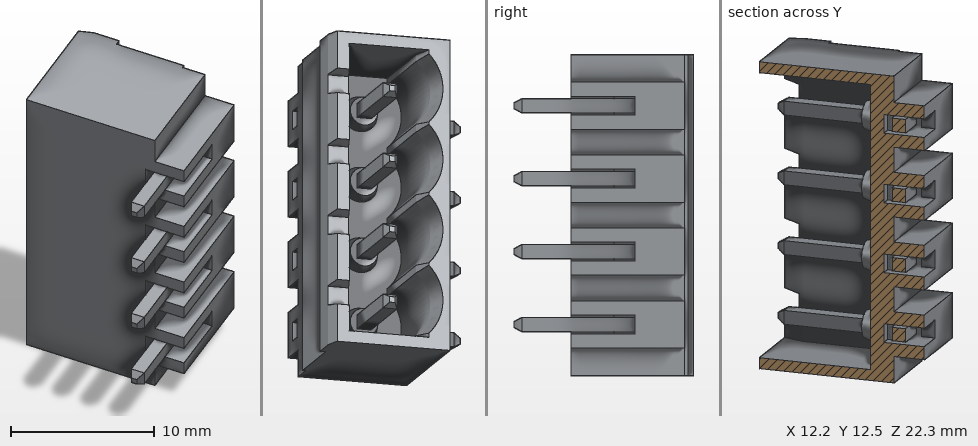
import cadquery as cq


POLE_COUNT = 4
POLE_PITCH = 5.07
POLE_Y = 3.93
POLE_Z = [(index - (POLE_COUNT - 1) / 2) * POLE_PITCH for index in range(POLE_COUNT)]

LENGTH = 22.32
HOUSING_DEPTH = 9.95
TOTAL_DEPTH = 12.2
HEIGHT = 8.53
LEAD_IN_HEIGHT = 8.21
LEAD_IN_DEPTH = 1.05
RIM_DEPTH = 3.0
MID_HEIGHT = 8.12
MID_DEPTH = 8.21
BACK_HEIGHT = 7.9

END_WALL = 0.83
CAVITY_DEPTH = 8.21
MOUTH_DEPTH = 1.56
FLARE = 0.42
CAVITY_TOP = 6.92
CAVITY_LEDGE = 1.96
SCALLOP_RADIUS = 3.0

NOTCH_WIDTH = 1.76
NOTCH_FLOOR_WIDTH = 1.35
NOTCH_DEPTH = 1.2

COLLAR_RADIUS = 1.25
COLLAR_TIP_RADIUS = 1.0
COLLAR_HEIGHT = 0.9

LEG_WIDTH = 3.28
SLOT_WIDTH = 1.32
SLOT_START = 9.22
SLOT_HEIGHT = 3.0
WINDOW_START = 10.18
WINDOW_END = 11.2

PIN_WIDTH = 1.0
PIN_TIP_WIDTH = 0.4
PIN_TAPER = 0.55
PIN_FRONT = 0.85
TAIL_X = 10.31
TAIL_END = -3.97
PIN_TOP = POLE_Y + PIN_WIDTH / 2


def block(x_range, y_range, width, z_center=0.0):
    """Box spanning the given X and Y ranges, centred on z_center."""
    return (
        cq.Workplane("XY")
        .box(x_range[1] - x_range[0], y_range[1] - y_range[0], width, centered=(False, False, True))
        .translate((x_range[0], y_range[0], z_center))
    )


def make_housing():
    """Stepped side profile along the whole row, with one leg behind each pole."""
    body = (
        cq.Workplane("XY")
        .polyline([
            (0, 0),
            (HOUSING_DEPTH, 0),
            (HOUSING_DEPTH, BACK_HEIGHT),
            (MID_DEPTH, BACK_HEIGHT),
            (MID_DEPTH, MID_HEIGHT),
            (RIM_DEPTH, MID_HEIGHT),
            (RIM_DEPTH, HEIGHT),
            (LEAD_IN_DEPTH, HEIGHT),
            (0, LEAD_IN_HEIGHT),
        ])
        .close()
        .extrude(LENGTH / 2, both=True)
    )
    for z in POLE_Z:
        body = body.union(block((MID_DEPTH, TOTAL_DEPTH), (0, BACK_HEIGHT), LEG_WIDTH, z))
    return body


def make_cavity():
    """Mating cavity: flared top and ledge, and one scallop per pole."""
    inner_length = LENGTH - 2 * END_WALL
    cavity = (
        cq.Workplane("XY")
        .polyline([
            (0, CAVITY_LEDGE - FLARE),
            (MOUTH_DEPTH, CAVITY_LEDGE),
            (CAVITY_DEPTH, CAVITY_LEDGE),
            (CAVITY_DEPTH, CAVITY_TOP),
            (MOUTH_DEPTH, CAVITY_TOP),
            (0, CAVITY_TOP + FLARE),
        ])
        .close()
        .extrude(inner_length / 2, both=True)
    )
    lower_half = block((0, CAVITY_DEPTH), (0, POLE_Y), inner_length)
    for z in POLE_Z:
        scallop = (
            cq.Workplane("XY")
            .polyline([
                (0, 0),
                (0, SCALLOP_RADIUS + FLARE),
                (MOUTH_DEPTH, SCALLOP_RADIUS),
                (CAVITY_DEPTH, SCALLOP_RADIUS),
                (CAVITY_DEPTH, 0),
            ])
            .close()
            .revolve(360, (0, 0, 0), (1, 0, 0))
            .translate((0, POLE_Y, z))
        )
        cavity = cavity.union(scallop.intersect(lower_half))
    return cavity


def make_notch(z):
    """Coding notch through the top wall, narrowing away from the mating face."""
    half_width = NOTCH_WIDTH / 2
    half_floor = NOTCH_FLOOR_WIDTH / 2
    return (
        cq.Workplane("XZ", origin=(0, POLE_Y, z))
        .polyline([
            (0, -half_width),
            (NOTCH_DEPTH, -half_floor),
            (NOTCH_DEPTH, half_floor),
            (0, half_width),
        ])
        .close()
        .extrude(POLE_Y - HEIGHT)
    )


def make_tail_slot(z):
    """Slot in the board face, deepened around the tail, with a window on through the top."""
    shallow_end = block((SLOT_START, TOTAL_DEPTH), (0, SLOT_HEIGHT), SLOT_WIDTH, z)
    tail_pocket = block((TAIL_X - PIN_WIDTH / 2, TOTAL_DEPTH), (0, PIN_TOP), SLOT_WIDTH, z)
    window = block((WINDOW_START, WINDOW_END), (0, BACK_HEIGHT), SLOT_WIDTH, z)
    return shallow_end.union(tail_pocket).union(window)


def make_collar(z):
    """Conical collar standing on the cavity floor."""
    return (
        cq.Workplane("YZ", origin=(CAVITY_DEPTH, POLE_Y, z))
        .circle(COLLAR_RADIUS)
        .workplane(offset=-COLLAR_HEIGHT)
        .circle(COLLAR_TIP_RADIUS)
        .loft()
    )


def make_pin_tip(plane, origin, direction):
    """Square frustum from the pin shoulder at origin along the plane normal."""
    return (
        cq.Workplane(plane, origin=origin)
        .rect(PIN_WIDTH, PIN_WIDTH)
        .workplane(offset=direction * PIN_TAPER)
        .rect(PIN_TIP_WIDTH, PIN_TIP_WIDTH)
        .loft()
    )


def make_pin(z):
    """Right-angle square pin with tapered mating and solder tips."""
    half_width = PIN_WIDTH / 2
    front_shoulder = PIN_FRONT + PIN_TAPER
    tail_shoulder = TAIL_END + PIN_TAPER
    tail_back = TAIL_X + half_width
    contact = block((front_shoulder, tail_back), (POLE_Y - half_width, PIN_TOP), PIN_WIDTH, z)
    tail = block((TAIL_X - half_width, tail_back), (tail_shoulder, PIN_TOP), PIN_WIDTH, z)
    front_tip = make_pin_tip("YZ", (front_shoulder, POLE_Y, z), -1)
    tail_tip = make_pin_tip("XZ", (TAIL_X, tail_shoulder, z), 1)
    return contact.union(tail).union(front_tip).union(tail_tip)


result = make_housing().cut(make_cavity())
for pole_z in POLE_Z:
    result = result.cut(make_notch(pole_z)).cut(make_tail_slot(pole_z))
    result = result.union(make_collar(pole_z)).union(make_pin(pole_z))